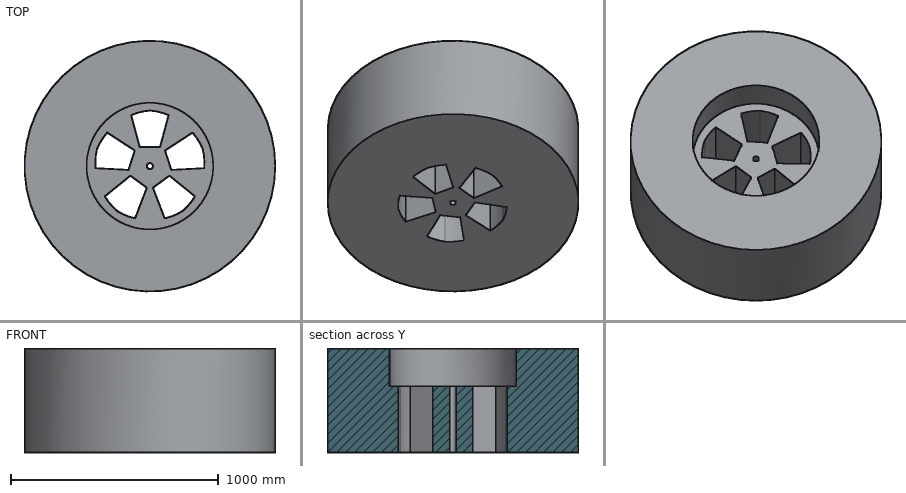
import cadquery as cq
import math

outer_diameter = 1208.0
wheel_width = 500.0

recess_diameter = 610.0
recess_depth = 180.0

axle_hole_diameter = 28.0

window_count = 5
window_inner_distance = 93.0
window_inner_width = 97.5
window_corner_distance = 245.0
window_crown_distance = 267.0
window_side_angle = 15.0
window_crown_radius = 270.0


def make_body():
    """Solid wheel standing on the XY plane, axis along Z."""
    return cq.Workplane("XY").circle(outer_diameter / 2).extrude(wheel_width)


def make_recess():
    """Round recess that opens at the top face."""
    return (
        cq.Workplane("XY")
        .workplane(offset=wheel_width - recess_depth)
        .circle(recess_diameter / 2)
        .extrude(recess_depth)
    )


def make_axle_hole():
    """Round hole through the full width."""
    return cq.Workplane("XY").circle(axle_hole_diameter / 2).extrude(wheel_width)


def make_window():
    """Flaring window with a straight inner edge and an outer edge of two mirrored arcs meeting at a crown."""
    inner_half = window_inner_width / 2
    side_height = window_corner_distance - window_inner_distance
    outer_half = inner_half + side_height * math.tan(math.radians(window_side_angle))
    return (
        cq.Workplane("XY")
        .moveTo(-inner_half, window_inner_distance)
        .lineTo(inner_half, window_inner_distance)
        .lineTo(outer_half, window_corner_distance)
        .radiusArc((0, window_crown_distance), -window_crown_radius)
        .radiusArc((-outer_half, window_corner_distance), -window_crown_radius)
        .close()
        .extrude(wheel_width)
    )


result = make_body().cut(make_recess()).cut(make_axle_hole())

window = make_window()
for index in range(window_count):
    turn = index * 360.0 / window_count
    result = result.cut(window.rotate((0, 0, 0), (0, 0, 1), turn))